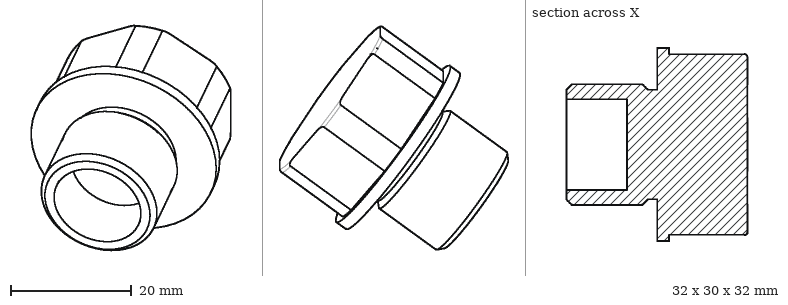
import cadquery as cq
import math

flange_diameter = 32
flange_thickness = 2.0
hex_across_flats = 28.0
hex_corner_diameter = 30.0
hex_sides = 6
hex_length = 13.0
hex_edge_radius = 0.5
thread_diameter = 20.0
neck_diameter = 18.18
neck_length = 1.5
overall_length = 30.0
bore_diameter = 15.0
bore_depth = 10.0

thread_chamfer = (thread_diameter - neck_diameter) / 2
flange_back = overall_length - hex_length
flange_front = flange_back - flange_thickness
thread_end = flange_front - neck_length


def cylinder(diameter, start, length):
    """Cylinder on the Y axis running from start towards +Y."""
    plane = cq.Workplane(cq.Plane((0, start, 0), (1, 0, 0), (0, 1, 0)))
    return plane.circle(diameter / 2).extrude(length)


def hex_head():
    """Hexagon with flats facing +X and -X, corners turned round and end edge rounded."""
    plane = cq.Workplane(cq.Plane((0, flange_back, 0), (0, 0, 1), (0, 1, 0)))
    corner_radius = hex_across_flats / 2 / math.cos(math.pi / hex_sides)
    corners = []
    for index in range(hex_sides):
        angle = math.radians(index * 360 / hex_sides)
        corners.append((corner_radius * math.cos(angle), corner_radius * math.sin(angle)))
    hexagon = plane.polyline(corners).close().extrude(hex_length)
    turned_blank = cylinder(hex_corner_diameter, flange_back, hex_length)
    turned_blank = turned_blank.faces(">Y").edges().fillet(hex_edge_radius)
    return hexagon.intersect(turned_blank)


def threaded_shank():
    """Plain thread cylinder, chamfered at both ends down to the neck diameter."""
    return cylinder(thread_diameter, 0, thread_end).edges("%CIRCLE").chamfer(thread_chamfer)


flange = cylinder(flange_diameter, flange_front, flange_thickness)
neck = cylinder(neck_diameter, thread_end, neck_length)
bore = cylinder(bore_diameter, 0, bore_depth)

result = hex_head().union(flange).union(neck).union(threaded_shank()).cut(bore)